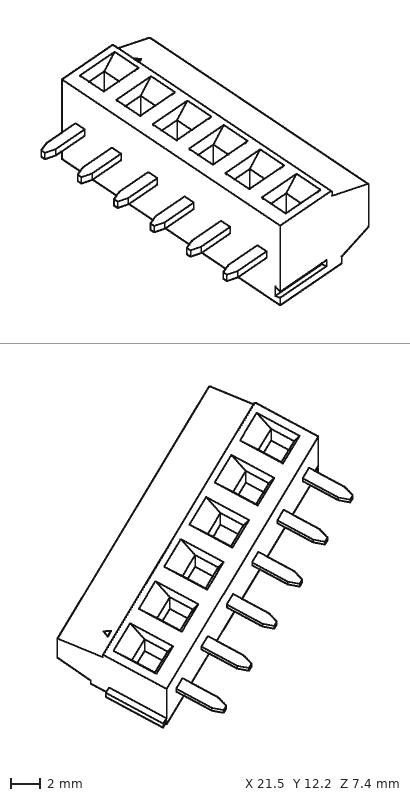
import cadquery as cq
import math

overall_length = 21.5
rail_depth = 0.5
body_length = overall_length - rail_depth
body_depth = 8.6
body_height = 7.4

back_bottom_z = 1.7
back_top_z = 5.7
foot_depth = 5.98
foot_height = 0.65
ledge_y = 5.03
ledge_bottom_z = 6.88
ledge_edge_radius = 0.17
back_edge_radius = 0.17

way_count = 6
pitch = body_length / way_count

mouth_width = 2.3
mouth_front_y = 1.15
mouth_back_y = 4.52
mouth_depth = 0.8
mouth_taper = 0.28
shaft_width = mouth_width - 2 * mouth_taper
shaft_front_y = mouth_front_y + mouth_taper
shaft_back_y = 3.22

pin_width = 0.88
pin_thickness = 0.6
pin_length = 3.6
pin_tip_length = 0.77
pin_tip_width = 0.37
pin_center_z = 3.87

shaft_floor_z = pin_center_z + pin_thickness / 2

rail_length = 4.52
rail_center_z = 0.99
rail_outer_height = 0.88
rail_root_height = 0.55

marker_width = 0.47
marker_front_y = 5.5
marker_back_y = 5.95
marker_engraving = 0.06


def make_body():
    section = [
        (0, 0),
        (foot_depth, 0),
        (foot_depth, foot_height),
        (body_depth, back_bottom_z),
        (body_depth, back_top_z),
        (ledge_y, ledge_bottom_z),
        (ledge_y, body_height),
        (0, body_height),
    ]
    body = cq.Workplane("YZ").polyline(section).close().extrude(body_length)
    body = body.faces(">Y").edges("|X").fillet(back_edge_radius)
    return body.faces(">Z").edges(">Y").fillet(ledge_edge_radius)


def make_opening(center_x):
    mouth_center_y = (mouth_front_y + mouth_back_y) / 2
    shaft_center_y = (shaft_front_y + shaft_back_y) / 2
    shaft_depth_y = shaft_back_y - shaft_front_y
    mouth_bottom_z = body_height - mouth_depth
    mouth = (
        cq.Workplane("XY", origin=(center_x, 0, body_height))
        .center(0, mouth_center_y)
        .rect(mouth_width, mouth_back_y - mouth_front_y)
        .workplane(offset=-mouth_depth)
        .center(0, shaft_center_y - mouth_center_y)
        .rect(shaft_width, shaft_depth_y)
        .loft(ruled=True)
    )
    shaft = (
        cq.Workplane("XY", origin=(center_x, shaft_center_y, shaft_floor_z))
        .rect(shaft_width, shaft_depth_y)
        .extrude(mouth_bottom_z - shaft_floor_z)
    )
    return mouth.union(shaft)


def make_pin(center_x):
    half_width = pin_width / 2
    half_tip = pin_tip_width / 2
    shoulder_y = pin_tip_length - pin_length
    outline = [
        (-half_width, 0),
        (-half_width, shoulder_y),
        (-half_tip, -pin_length),
        (half_tip, -pin_length),
        (half_width, shoulder_y),
        (half_width, 0),
    ]
    return (
        cq.Workplane("XY", origin=(center_x, 0, pin_center_z))
        .polyline(outline)
        .close()
        .extrude(pin_thickness / 2, both=True)
    )


def make_dovetail(root_x):
    outer_x = root_x - rail_depth
    outline = [
        (root_x, rail_center_z - rail_root_height / 2),
        (root_x, rail_center_z + rail_root_height / 2),
        (outer_x, rail_center_z + rail_outer_height / 2),
        (outer_x, rail_center_z - rail_outer_height / 2),
    ]
    return cq.Workplane("XZ").polyline(outline).close().extrude(-rail_length)


def make_marker(center_x):
    slope_run = body_depth - ledge_y
    slope_drop = ledge_bottom_z - back_top_z
    slope_angle = math.atan2(slope_drop, slope_run)
    slope_plane = cq.Plane(
        origin=(center_x, ledge_y, ledge_bottom_z),
        xDir=(1, 0, 0),
        normal=(0, slope_drop, slope_run),
    )
    front = (marker_front_y - ledge_y) / math.cos(slope_angle)
    back = (marker_back_y - ledge_y) / math.cos(slope_angle)
    outline = [(-marker_width / 2, front), (marker_width / 2, front), (0, back)]
    return cq.Workplane(slope_plane).polyline(outline).close().extrude(marker_engraving, both=True)


way_centers = [(way + 0.5) * pitch for way in range(way_count)]

result = make_body().union(make_dovetail(0)).cut(make_dovetail(body_length))
for way_x in way_centers:
    result = result.cut(make_opening(way_x)).union(make_pin(way_x))
result = result.cut(make_marker(way_centers[0]))